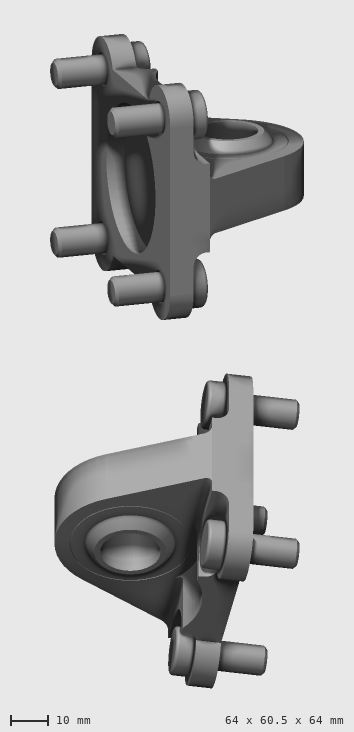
import cadquery as cq
import math


flange_width = 64.0
flange_height = 51.2
flange_thickness = 11.0
screw_spacing = 46.45
recess_diameter = 40.0
recess_depth = 5.0

seat_height = 6.5
pocket_radius = 11.0
pocket_fillet = 3.5
hole_diameter = 9.0

eye_center_y = 27.0
eye_radius = 40.0 / 2
eye_thickness = 15.0
root_fillet = 2.0
relief_radius = 19.0

race_radius = 32.0 / 2
race_chamfer = 0.25
ball_radius = 14.15
ball_length = 20.85
ball_bore_diameter = 16.0

shank_diameter = 8.0
shank_protrusion = 13.45
shank_chamfer = 0.8
head_diameter = 13.0
head_height = 5.0
head_rounding = 0.9

half_width = flange_width / 2
half_eye = eye_thickness / 2
screw_offset = screw_spacing / 2
lobe_radius = half_width - screw_offset
corner_signs = [(sign_x, sign_z) for sign_x in (-1, 1) for sign_z in (-1, 1)]


def cylinder_y(radius, y_start, length):
    """Cylinder along +Y, centred on the Y axis."""
    return cq.Workplane("XZ", origin=(0, y_start, 0)).circle(radius).extrude(-length)


def cylinder_z(radius, z_start, length):
    """Cylinder along +Z, centred on the eye axis."""
    return cq.Workplane("XY", origin=(0, eye_center_y, z_start)).circle(radius).extrude(length)


def at_corner(body, sign_x, sign_z):
    """Place a body made on the Y axis at the screw position of one corner."""
    return body.translate((sign_x * screw_offset, 0, sign_z * screw_offset))


def make_flange():
    """Square flange whose four corners end in round lobes."""
    wide_core = cq.Workplane().box(flange_width, flange_thickness, screw_spacing, centered=(True, False, True))
    tall_core = cq.Workplane().box(screw_spacing, flange_thickness, flange_height, centered=(True, False, True))
    flange = wide_core.union(tall_core)
    for sign_x, sign_z in corner_signs:
        lobe = cylinder_y(lobe_radius, 0, flange_thickness)
        flange = flange.union(at_corner(lobe, sign_x, sign_z))
    return flange


def make_eye_prism(thickness):
    """Eye outline, with flanks tangent to the eye circle, centred on Z = 0."""
    edge_drop = eye_center_y - flange_thickness
    edge_distance = math.hypot(half_width, edge_drop)
    tangent_angle = math.acos(eye_radius / edge_distance) - math.atan2(edge_drop, half_width)
    tangent_x = eye_radius * math.cos(tangent_angle)
    tangent_y = eye_center_y + eye_radius * math.sin(tangent_angle)
    return (
        cq.Workplane("XY", origin=(0, 0, -thickness / 2))
        .moveTo(-half_width, seat_height)
        .lineTo(half_width, seat_height)
        .lineTo(half_width, flange_thickness)
        .lineTo(tangent_x, tangent_y)
        .threePointArc((0, eye_center_y + eye_radius), (-tangent_x, tangent_y))
        .lineTo(-half_width, flange_thickness)
        .close()
        .extrude(thickness)
    )


def make_root_fillets():
    """Concave fillets from the flange to both eye faces, ending at the eye flanks."""
    arc_inset = root_fillet * (1 - math.sqrt(0.5))
    upper = (
        cq.Workplane("YZ", origin=(-half_width, 0, 0))
        .moveTo(flange_thickness, half_eye)
        .lineTo(flange_thickness, half_eye + root_fillet)
        .threePointArc(
            (flange_thickness + arc_inset, half_eye + arc_inset),
            (flange_thickness + root_fillet, half_eye),
        )
        .close()
        .extrude(flange_width)
    )
    lower = upper.mirror("XY")
    return upper.union(lower).intersect(make_eye_prism(eye_thickness + 2 * root_fillet))


def make_pocket(sign_x, sign_z):
    """Cutter around a screw head: rounded inwards, running straight out of both flange sides."""
    reach = 2 * pocket_radius
    arc_mid = pocket_radius * math.sqrt(0.5)
    return (
        cq.Workplane("XZ", origin=(0, seat_height, 0))
        .moveTo(-sign_x * pocket_radius, 0)
        .threePointArc((-sign_x * arc_mid, -sign_z * arc_mid), (0, -sign_z * pocket_radius))
        .lineTo(sign_x * reach, -sign_z * pocket_radius)
        .lineTo(sign_x * reach, sign_z * reach)
        .lineTo(-sign_x * pocket_radius, sign_z * reach)
        .close()
        .extrude(-reach)
        .faces("<Y")
        .edges()
        .fillet(pocket_fillet)
    )


def make_race_groove():
    """Fine chamfer groove where the bearing race meets the eye, on the upper face."""
    return (
        cq.Workplane("XZ", origin=(0, eye_center_y, 0))
        .moveTo(race_radius - race_chamfer, half_eye)
        .lineTo(race_radius, half_eye)
        .lineTo(race_radius, half_eye - race_chamfer)
        .close()
        .revolve(360, (0, 0), (0, 1))
    )


def make_ball():
    """Bearing ball with flat ends, centred in the eye."""
    sphere = cq.Workplane("XY", origin=(0, eye_center_y, 0)).sphere(ball_radius)
    return sphere.intersect(cylinder_z(ball_radius, -ball_length / 2, ball_length))


def make_housing():
    """Flange, eye and bearing in one solid."""
    housing = make_flange().union(make_eye_prism(eye_thickness)).union(make_root_fillets())

    relief_length = flange_height / 2 - half_eye
    housing = housing.cut(cylinder_z(relief_radius, half_eye, relief_length))
    housing = housing.cut(cylinder_z(relief_radius, -flange_height / 2, relief_length))

    race_groove = make_race_groove()
    housing = housing.cut(race_groove).cut(race_groove.mirror("XY"))
    housing = housing.union(make_ball())
    housing = housing.cut(cylinder_z(ball_bore_diameter / 2, -ball_length / 2, ball_length))

    housing = housing.cut(cylinder_y(recess_diameter / 2, 0, recess_depth))

    for sign_x, sign_z in corner_signs:
        housing = housing.cut(at_corner(make_pocket(sign_x, sign_z), sign_x, sign_z))
        hole = cylinder_y(hole_diameter / 2, 0, flange_thickness)
        housing = housing.cut(at_corner(hole, sign_x, sign_z))
    return housing.solids()


def make_screw():
    """Cap screw pointing along -Y, its head resting on the screw seat."""
    shank_length = shank_protrusion + seat_height
    shank = cylinder_y(shank_diameter / 2, -shank_protrusion, shank_length).faces("<Y").chamfer(shank_chamfer)
    head = cylinder_y(head_diameter / 2, seat_height, head_height).edges().fillet(head_rounding)
    return head.union(shank).solids()


housing = make_housing()
screw = make_screw()
screws = [at_corner(screw, sign_x, sign_z) for sign_x, sign_z in corner_signs]

result = cq.Compound.makeCompound([housing.val(), *[placed.val() for placed in screws]])